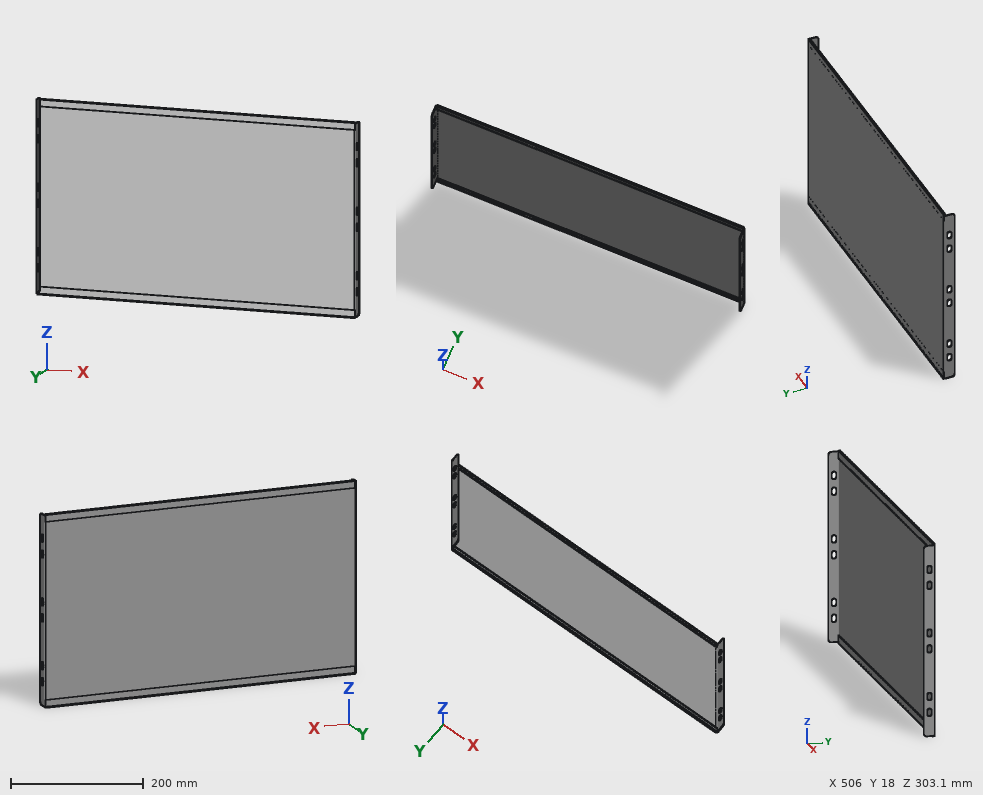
import cadquery as cq

length = 506.0
depth = 18.0
height = 303.1
sheet = 1.5
back_y = depth / 2

flange_height = 300.0
flange_corner_radius = 5.0
bend_inner_radius = 1.25
bend_outer_radius = bend_inner_radius + sheet

hem_gap = 0.1
hem_depth = 2 * sheet + hem_gap
hem_end_clearance = 1.0
hem_length = length - 2 * (sheet + hem_end_clearance)
lip_height = 12.05

slot_width = 7.0
slot_height = 12.0
slot_pair_pitch = 25.0
slot_group_centers = (-100.0, 0.0, 100.0)


def make_tray():
    """Back plate and both side flanges, bent from one sheet into a U."""
    outer = (
        cq.Workplane("XY")
        .box(length, depth, flange_height)
        .edges("|Z and >Y")
        .fillet(bend_outer_radius)
    )
    hollow = (
        cq.Workplane("XY")
        .box(length - 2 * sheet, depth, flange_height)
        .translate((0, -sheet, 0))
        .edges("|Z and >Y")
        .fillet(bend_inner_radius)
    )
    tray = outer.cut(hollow)
    front_corners = tray.edges("|X and <Y").edges(">Z or <Z")
    return front_corners.fillet(flange_corner_radius)


def make_hems():
    """Plate strip of full height with a square-folded hem along its top and bottom."""
    plate_front_y = back_y - sheet
    lip_back_y = plate_front_y - hem_gap
    lip_front_y = back_y - hem_depth
    top_z = height / 2
    fold_inside_z = top_z - sheet
    lip_end_z = top_z - lip_height
    return (
        cq.Workplane("YZ")
        .moveTo(back_y, 0)
        .lineTo(back_y, top_z)
        .lineTo(lip_front_y, top_z)
        .lineTo(lip_front_y, lip_end_z)
        .lineTo(lip_back_y, lip_end_z)
        .lineTo(lip_back_y, fold_inside_z)
        .lineTo(plate_front_y, fold_inside_z)
        .lineTo(plate_front_y, 0)
        .mirrorX()
        .extrude(hem_length / 2, both=True)
    )


def make_slot_cutter():
    """Upright slots that run through both side flanges."""
    slot_centers = [
        (0, group_z + side * slot_pair_pitch / 2)
        for group_z in slot_group_centers
        for side in (-1, 1)
    ]
    return (
        cq.Workplane("YZ")
        .pushPoints(slot_centers)
        .slot2D(slot_height, slot_width, 90)
        .extrude(length / 2, both=True)
    )


tray = make_tray().cut(make_slot_cutter())
result = tray.union(make_hems())